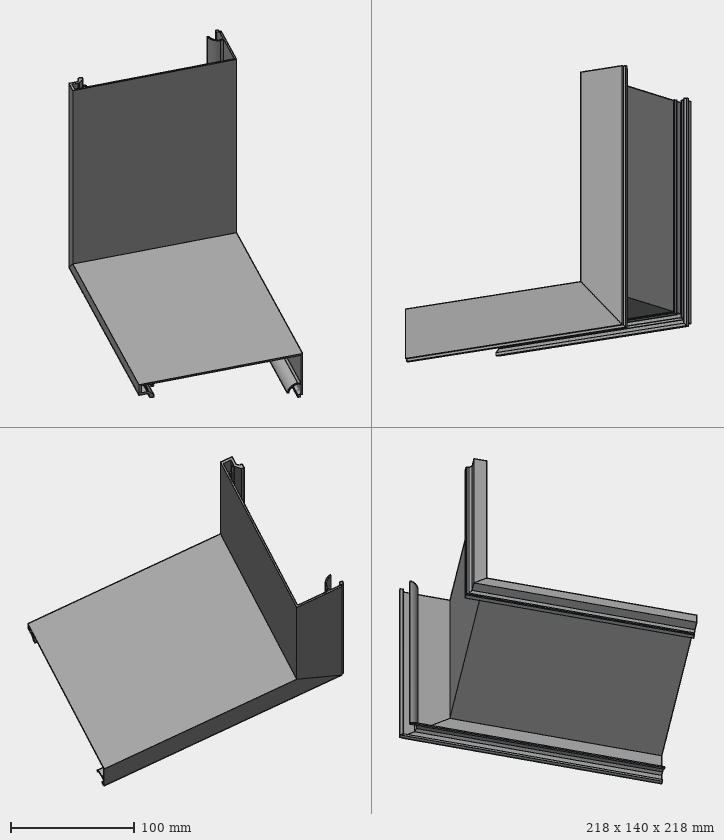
import cadquery as cq
import math

arm_length = 218.0
frame_depth = 140.0

sheet = 1.5
web_outer = 43.4
web_inner = web_outer - sheet
flange_start = 2.2
flange_face = frame_depth - sheet

hook_top = 138.2
hook_bottom = 135.8
hook_width = 2.6
hook_root = 4.4
hook_hollow_point = (3.0, 137.5)

cove_outer = 14.8
cove_thickness = 1.3
cove_radius = 9.5
cove_depth = 136.2
cove_centre = cove_outer - cove_radius
cove_inner_radius = cove_radius - cove_thickness
cove_tip = 6.3
crease_depth = 135.5
stem_lean = 0.9

box_start = 32.7
box_wall = 2.2
box_inner = box_start + box_wall
side_top = 8.3
ledge_length = 2.2
ledge_bottom = 7.0
ledge_top = 7.8

head_start = 28.1
head_end = 30.5
head_bottom = 9.2
head_top = 12.9
head_bevel = 0.7
neck_thickness = 1.7

barb_reach = 2.8
barb_peak_reach = 1.7
barb_neck_reach = 0.9
barb_root_bottom = 9.8
barb_bottom = 10.7
barb_notch = 11.3
barb_root_top = 12.0
barb_peak = 12.9


def polygon(plane, points):
    return cq.Workplane(plane).polyline(points).close().extrude(arm_length)


def channel(plane):
    """Web, back flange, front floor and box side wall as one bent strip."""
    return polygon(plane, [
        (flange_start, frame_depth),
        (web_outer, frame_depth),
        (web_outer, 0),
        (box_start, 0),
        (box_start, side_top),
        (box_inner, side_top),
        (box_inner, box_wall),
        (web_inner, box_wall),
        (web_inner, flange_face),
        (flange_start, flange_face),
    ])


def flange_hook(plane):
    """Hook with a straight outer side and a hollow inner side."""
    return (
        cq.Workplane(plane)
        .moveTo(flange_start, frame_depth)
        .lineTo(hook_root, frame_depth)
        .lineTo(hook_root, flange_face)
        .threePointArc(hook_hollow_point, (hook_width, hook_bottom))
        .lineTo(0, hook_bottom)
        .lineTo(0, hook_top)
        .lineTo(flange_start, hook_top)
        .close()
        .extrude(arm_length)
    )


def cove(plane):
    """Leaning stem and a lip between two concentric arcs."""
    def arc_point(radius, angle):
        return (cove_centre + radius * math.cos(angle), cove_depth - radius * math.sin(angle))

    middle = math.pi / 4
    outer_end = math.acos((cove_tip - cove_centre) / cove_radius)
    inner_end = math.acos((cove_tip - cove_centre) / cove_inner_radius)
    outer_start = math.asin((cove_depth - crease_depth) / cove_radius)
    inner_start = math.asin((cove_depth - crease_depth) / cove_inner_radius)
    root_outer = cove_outer - stem_lean
    return (
        cq.Workplane(plane)
        .moveTo(root_outer, frame_depth)
        .lineTo(root_outer, flange_face)
        .lineTo(*arc_point(cove_radius, outer_start))
        .threePointArc(arc_point(cove_radius, middle), arc_point(cove_radius, outer_end))
        .lineTo(*arc_point(cove_inner_radius, inner_end))
        .threePointArc(arc_point(cove_inner_radius, middle), arc_point(cove_inner_radius, inner_start))
        .lineTo(root_outer - cove_thickness, flange_face)
        .lineTo(root_outer - cove_thickness, frame_depth)
        .close()
        .extrude(arm_length)
    )


def front_lip(plane):
    """Square head, sloping neck and the small ledge inside the box."""
    ledge_end = box_inner + ledge_length
    return polygon(plane, [
        (head_start, head_top),
        (head_end, head_top),
        (box_inner, side_top),
        (box_inner, ledge_top),
        (ledge_end, ledge_top),
        (ledge_end, ledge_bottom),
        (box_start, ledge_bottom),
        (box_start, side_top - neck_thickness / 2),
        (head_end, head_bottom),
        (head_start + head_bevel, head_bottom),
        (head_start, head_bottom + head_bevel),
    ])


def web_barb(plane):
    return polygon(plane, [
        (web_outer, barb_root_top),
        (web_inner - barb_neck_reach, barb_root_top),
        (web_inner - barb_peak_reach, barb_peak),
        (web_inner - barb_reach, barb_root_top),
        (web_inner - barb_reach, barb_bottom),
        (web_inner - barb_neck_reach, barb_notch),
        (web_inner, barb_root_bottom),
        (web_outer, barb_root_bottom),
    ])


def mitred_arm(plane, keep_corner):
    """One arm, kept on its own side of the diagonal mitre plane."""
    section = channel(plane)
    for feature in (flange_hook, cove, front_lip, web_barb):
        section = section.union(feature(plane))
    mitre_side = (
        cq.Workplane("XZ")
        .polyline([(0, 0), (arm_length, arm_length), keep_corner])
        .close()
        .extrude(-frame_depth)
    )
    return section.intersect(mitre_side)


upright_plane = cq.Plane.XY()
upright_arm = mitred_arm(upright_plane, (0, arm_length))

level_plane = cq.Plane(origin=(arm_length, 0, 0), xDir=(0, 0, 1), normal=(-1, 0, 0))
level_arm = mitred_arm(level_plane, (arm_length, 0))

result = cq.Compound.makeCompound([*upright_arm.vals(), *level_arm.vals()])